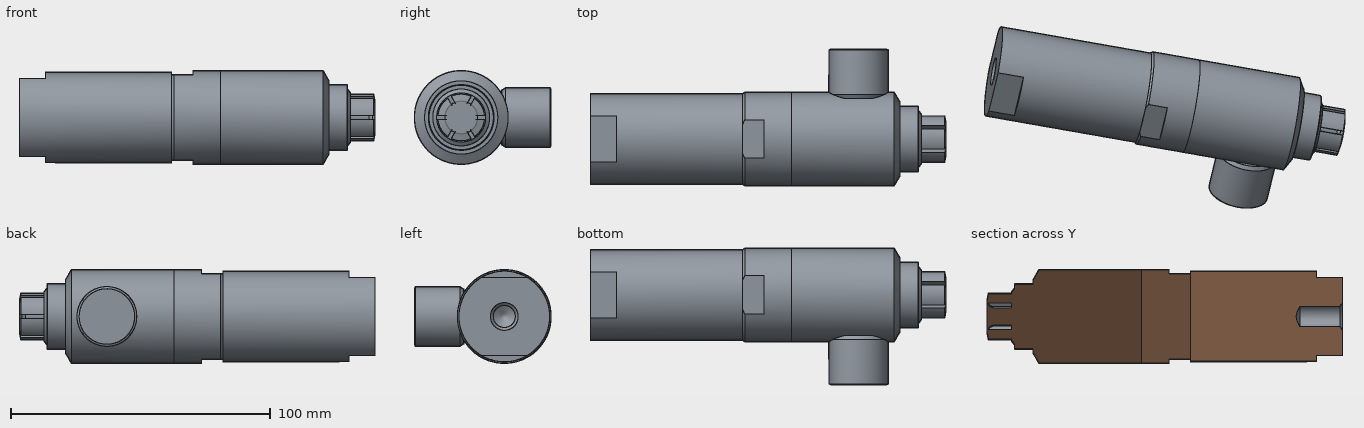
import cadquery as cq
import math

total_length = 136.9

rear_diameter = 34.9
rear_end = 58.6
rear_flat_length = 10.0
rear_flat_width = 30.1
bore_diameter = 8.5
bore_mouth_diameter = 10.7
bore_depth = 16.5
drill_point_angle = 118.0
countersink_angle = 90.0

sleeve_diameter = 36.1
sleeve_end = 77.5
sleeve_bevel_length = 0.8
sleeve_flat_end = 66.8
sleeve_flat_width = 33.0

front_diameter = sleeve_diameter
shoulder_start = 117.0
shoulder_end = 119.3
shoulder_end_diameter = 28.2
collar_diameter = 25.3
collar_chamfer = 0.3
collar_end = 126.4
nose_base_diameter = 21.9
nose_tip_diameter = 18.9
nose_end = 127.5

tip_diameter = 18.0
tip_end_diameter = 12.6
tip_chamfer_length = 0.5
slot_count = 6
slot_width = 1.5
core_diameter = 8.0
flare_start = 134.6
head_start = 135.8
head_start_diameter = 9.0

port_diameter = 23.0
port_x = 103.2
port_tip_y = 34.6
port_base_y = 15.6
port_tip_chamfer_length = 0.4
port_tip_chamfer_width = 0.8
port_base_chamfer_length = 1.5
port_base_chamfer_width = 1.0


def revolve_about_x(outline):
    """Turn a half section of (x, radius) points about the X axis."""
    return cq.Workplane("XY").polyline(outline).close().revolve(360, (0, 0, 0), (1, 0, 0))


def outside_flats(start, end, width, diameter):
    """Two blocks that mill parallel flats, facing +Z and -Z, into a round bar."""
    block = cq.Workplane("XY").box(end - start, diameter, diameter, centered=(False, True, True))
    middle = cq.Workplane("XY").box(end - start, diameter, width, centered=(False, True, True))
    return block.cut(middle).translate((start, 0, 0))


def make_rear_bore():
    """Blind drilled hole with a countersunk mouth."""
    bore_radius = bore_diameter / 2
    mouth_radius = bore_mouth_diameter / 2
    countersink_depth = (mouth_radius - bore_radius) / math.tan(math.radians(countersink_angle / 2))
    point_length = bore_radius / math.tan(math.radians(drill_point_angle / 2))
    return revolve_about_x([
        (0, 0),
        (0, mouth_radius),
        (countersink_depth, bore_radius),
        (bore_depth, bore_radius),
        (bore_depth + point_length, 0),
    ])


def make_rear_body():
    radius = rear_diameter / 2
    bar = revolve_about_x([(0, 0), (0, radius), (rear_end, radius), (rear_end, 0)])
    flats = outside_flats(0, rear_flat_length, rear_flat_width, rear_diameter)
    return bar.cut(flats).cut(make_rear_bore())


def make_sleeve():
    radius = sleeve_diameter / 2
    ring = revolve_about_x([
        (rear_end, 0),
        (rear_end, rear_diameter / 2),
        (rear_end + sleeve_bevel_length, radius),
        (sleeve_end, radius),
        (sleeve_end, 0),
    ])
    return ring.cut(outside_flats(rear_end, sleeve_flat_end, sleeve_flat_width, sleeve_diameter))


def make_front_shell():
    """Main cylinder, conical shoulder, collar, nose cone and unslotted tip."""
    radius = front_diameter / 2
    collar_radius = collar_diameter / 2
    tip_radius = tip_diameter / 2
    return revolve_about_x([
        (sleeve_end, 0),
        (sleeve_end, radius),
        (shoulder_start, radius),
        (shoulder_end, shoulder_end_diameter / 2),
        (shoulder_end, collar_radius),
        (collar_end - collar_chamfer, collar_radius),
        (collar_end, collar_radius - collar_chamfer),
        (collar_end, nose_base_diameter / 2),
        (nose_end, nose_tip_diameter / 2),
        (nose_end, tip_radius),
        (total_length - tip_chamfer_length, tip_radius),
        (total_length, tip_end_diameter / 2),
        (total_length, 0),
    ])


def make_tip_slots():
    """Radial slots of the tip, each ending on the core and its flared head."""
    length = total_length - nose_end
    core = revolve_about_x([
        (nose_end, 0),
        (nose_end, core_diameter / 2),
        (flare_start, core_diameter / 2),
        (head_start, head_start_diameter / 2),
        (total_length, tip_end_diameter / 2),
        (total_length, 0),
    ])
    slot = cq.Workplane("XY").box(length, tip_diameter, slot_width, centered=(False, False, True))
    slot = slot.translate((nose_end, 0, 0)).cut(core)
    return [slot.rotate((0, 0, 0), (1, 0, 0), i * 360 / slot_count) for i in range(slot_count)]


def make_port():
    """Side port with both ends chamfered."""
    radius = port_diameter / 2
    outline = [
        (0, port_base_y),
        (radius - port_base_chamfer_width, port_base_y),
        (radius, port_base_y + port_base_chamfer_length),
        (radius, port_tip_y - port_tip_chamfer_length),
        (radius - port_tip_chamfer_width, port_tip_y),
        (0, port_tip_y),
    ]
    port = cq.Workplane("XY").polyline(outline).close().revolve(360, (0, 0, 0), (0, 1, 0))
    return port.translate((port_x, 0, 0))


def make_front_body():
    body = make_front_shell().union(make_port())
    for slot in make_tip_slots():
        body = body.cut(slot)
    return body


rear_body = make_rear_body()
sleeve = make_sleeve()
front_body = make_front_body()

result = cq.Compound.makeCompound([rear_body.val(), sleeve.val(), front_body.val()])